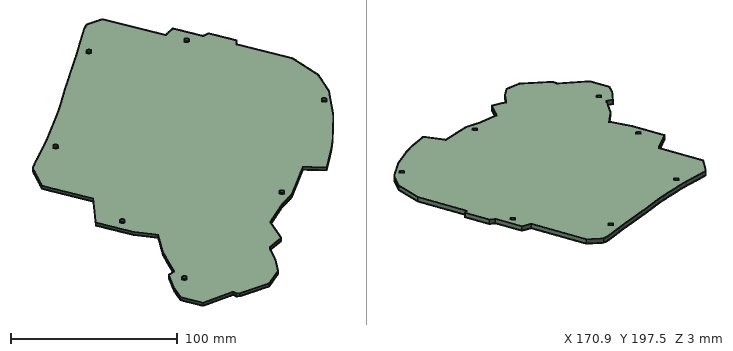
import cadquery as cq

WIDTH = 170.88
DEPTH = 197.5
THICKNESS = 3.0
SCREW_HOLE_DIAMETER = 3.0

TOP_TAB_Y = DEPTH
TOP_EDGE_Y = 194.6
UPPER_LEFT_EDGE_Y = 188.5
LOWER_LEFT_EDGE_Y = 56.0
LOWER_TAB_Y = 39.0
BOTTOM_Y = 0.0

LEFT_EDGE_X = 4.3
RIGHT_EDGE_X = 157.2

LEFT_SIDE = [
    (2.8, 67.3),
    (2.9, 71.3),
    (4.1, 86.9),
    (LEFT_EDGE_X, 92.3),
    (LEFT_EDGE_X, 111.4),
    (4.1, 116.9),
    (2.8, 132.6),
    (2.7, 136.7),
    (2.3, 142.8),
    (1.5, 159.2),
    (1.0, 164.6),
    (0.0, 177.7),
    (0.4, 181.7),
]

TOP_SIDE = [
    (8.2, UPPER_LEFT_EDGE_Y),
    (48.1, UPPER_LEFT_EDGE_Y),
    (50.7, TOP_EDGE_Y),
    (69.8, TOP_EDGE_Y),
    (72.2, TOP_TAB_Y),
    (90.0, TOP_TAB_Y),
    (90.6, TOP_EDGE_Y),
    (126.0, TOP_EDGE_Y),
]

UPPER_RIGHT_BULGE = [
    (144.7, 187.2),
    (154.6, 177.3),
    (162.5, 161.0),
    (167.6, 143.9),
    (169.2, 135.8),
    (WIDTH, 121.2),
]

RIGHT_SIDE = [
    (RIGHT_EDGE_X, 117.3),
    (RIGHT_EDGE_X, 95.2),
    (153.9, 86.0),
    (151.3, 71.2),
    (161.3, 61.6),
    (156.8, 52.5),
]

THUMB_LOBE = [
    (163.3, 44.2),
    (167.1, 37.1),
    (164.9, 26.2),
    (150.4, 13.6),
    (148.5, 12.9),
    (146.3, 13.6),
    (131.6, BOTTOM_Y),
    (118.6, BOTTOM_Y),
    (117.2, 0.2),
    (111.6, 5.5),
    (105.4, 14.1),
    (107.7, 17.8),
    (97.0, 29.4),
    (90.1, 41.4),
]

LOWER_LEFT_SIDE = [
    (75.0, LOWER_TAB_Y),
    (51.6, LOWER_TAB_Y),
    (44.6, LOWER_LEFT_EDGE_Y),
    (15.5, LOWER_LEFT_EDGE_Y),
    (12.2, 56.1),
]

SCREW_HOLE_CENTERS = [
    (8.0, 162.5),
    (61.3, 188.5),
    (153.8, 170.0),
    (151.0, 95.1),
    (115.1, 14.8),
    (66.4, 45.0),
    (10.9, 87.2),
]


def make_plate():
    outline = LEFT_SIDE + TOP_SIDE + UPPER_RIGHT_BULGE + RIGHT_SIDE + THUMB_LOBE + LOWER_LEFT_SIDE
    return cq.Workplane("XY").polyline(outline).close().extrude(THICKNESS)


def drill_screw_holes(plate):
    top_plane = plate.faces(">Z").workplane(origin=(0, 0, THICKNESS))
    return top_plane.pushPoints(SCREW_HOLE_CENTERS).hole(SCREW_HOLE_DIAMETER)


result = drill_screw_holes(make_plate())